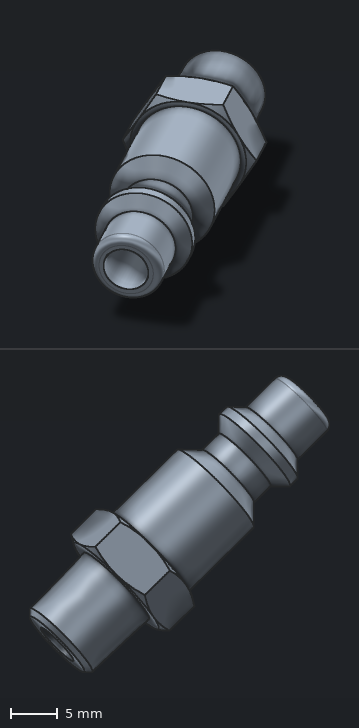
import cadquery as cq
import math

LENGTH = 38.0
BORE_RADIUS = 2.5

TIP_RADIUS = 4.0
TIP_ROUND = 0.95
COLLAR_RADIUS = 5.45
COLLAR_START = 5.45
COLLAR_RIM_START = 6.85
COLLAR_RIM_END = 7.98
COLLAR_END = 9.5
SHOULDER_START = 12.05

BODY_RADIUS = 5.9
BODY_START = SHOULDER_START + (BODY_RADIUS - TIP_RADIUS)

HEX_ACROSS_FLATS = 13.0
HEX_ACROSS_CORNERS = HEX_ACROSS_FLATS / math.cos(math.pi / 6)
HEX_START = 24.0
HEX_END = 29.0
HEX_CHAMFER_ANGLE = math.radians(30)

SPIGOT_ROOT_RADIUS = 5.0
SPIGOT_END_RADIUS = 4.8
SPIGOT_CHAMFER = 0.6


def revolve_about_y(outline):
    return outline.close().revolve(360, (0, 0, 0), (0, 1, 0))


def make_turned_body():
    round_center_radius = TIP_RADIUS - TIP_ROUND
    diagonal = TIP_ROUND * math.sqrt(0.5)
    round_middle = (round_center_radius + diagonal, TIP_ROUND - diagonal)
    return revolve_about_y(
        cq.Workplane("XY")
        .lineTo(round_center_radius, 0)
        .threePointArc(round_middle, (TIP_RADIUS, TIP_ROUND))
        .lineTo(TIP_RADIUS, COLLAR_START)
        .lineTo(COLLAR_RADIUS, COLLAR_RIM_START)
        .lineTo(COLLAR_RADIUS, COLLAR_RIM_END)
        .lineTo(TIP_RADIUS, COLLAR_END)
        .lineTo(TIP_RADIUS, SHOULDER_START)
        .lineTo(BODY_RADIUS, BODY_START)
        .lineTo(BODY_RADIUS, HEX_START)
        .lineTo(SPIGOT_ROOT_RADIUS, HEX_END)
        .lineTo(SPIGOT_END_RADIUS, LENGTH - SPIGOT_CHAMFER)
        .lineTo(SPIGOT_END_RADIUS - SPIGOT_CHAMFER, LENGTH)
        .lineTo(0, LENGTH)
    )


def make_hexagon():
    prism = (
        cq.Workplane("XZ", origin=(0, HEX_END, 0))
        .polygon(6, HEX_ACROSS_CORNERS)
        .extrude(HEX_END - HEX_START)
    )
    face_radius = HEX_ACROSS_FLATS / 2
    corner_radius = HEX_ACROSS_CORNERS / 2
    chamfer = (corner_radius - face_radius) * math.tan(HEX_CHAMFER_ANGLE)
    trim = revolve_about_y(
        cq.Workplane("XY")
        .moveTo(0, HEX_START)
        .lineTo(face_radius, HEX_START)
        .lineTo(corner_radius, HEX_START + chamfer)
        .lineTo(corner_radius, HEX_END - chamfer)
        .lineTo(face_radius, HEX_END)
        .lineTo(0, HEX_END)
    )
    return prism.intersect(trim)


def make_bore():
    return cq.Workplane("XZ").circle(BORE_RADIUS).extrude(-LENGTH)


result = make_turned_body().union(make_hexagon()).cut(make_bore())